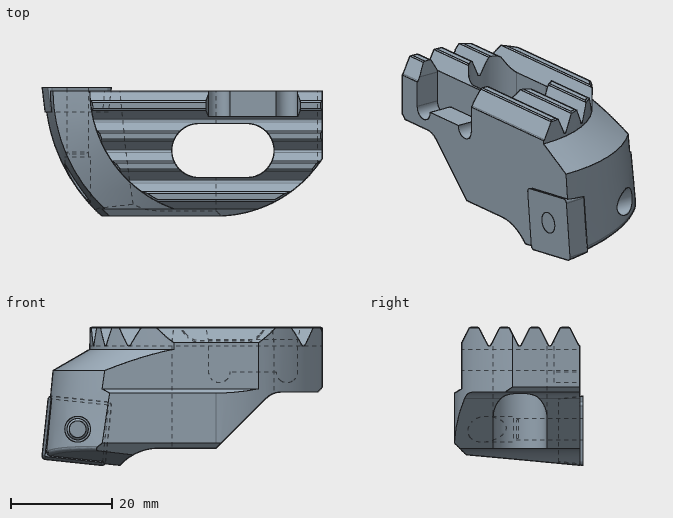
import cadquery as cq
import math


length = 55.5
front_y = -24.8
step_y = -23.35
axis_x = 34.45
axis_y = 0.2
top_radius = axis_y - front_y
ledge_radius = 32.3
ledge_top_z = -4.4
ledge_angle = 30.0
flank_angle = 5.5
stock_depth = 33.3

rise_angle = 45.0
foot_z = -24.0
tail_z = -12.9
tail_fillet = 4.15
tail_chamfer = 1.0
toe_arc_radius = 10.25
toe_arc_end_x = 23.05
toe_x = 15.0
sole_origin_z = -25.75
sole_angle = 6.0
sole_fillet = 0.85
front_chamfer = 1.05
step_ledge_z = -12.2
step_ledge_angle = 30.0

pitch = 6.0
groove_count = 5
first_groove_y = 0.085
groove_depth = 3.7
groove_root_radius = 0.35
groove_half_angle = 27.0
tip_chamfer_width = 0.4
tip_chamfer_drop = 0.15

slot_length = 20.2
slot_width = 10.65
slot_x = 35.8
slot_y = -11.8

notch_left_x = 32.95
notch_right_x = 50.55
notch_depth_y = 5.05
notch_floor_z = -8.9
notch_flare = 0.55
notch_flare_z = -2.8
relief_diameter = 4.2

insert_side = 12.65
insert_thickness = 4.9
insert_back_y = 0.65
insert_corner_x = -0.085
insert_corner_z = -26.15
insert_tilt = 6.0
insert_relief = 7.0
insert_corner_radius = 0.8

screw_x = 7.05
screw_z = -20.2
screw_diameter = 4.2
screw_tip_chamfer = 0.45
screw_tip_recess = 0.55
access_diameter = 5.1
access_floor_y = -13.1


def tan_deg(angle):
    return math.tan(math.radians(angle))


def block(x0, x1, y0, y1, z0, z1):
    return cq.Workplane("XY").box(x1 - x0, y1 - y0, z1 - z0, centered=False).translate((x0, y0, z0))


def xz_prism(outline, y0, y1):
    """Extrude an outline drawn in X and Z from y0 to y1."""
    return outline.extrude(y0 - y1).translate((0, y0, 0))


def turned(points):
    """Turn a profile of (radius, Z) points about the vertical axis of the body."""
    profile = cq.Workplane("XZ").polyline(points).close()
    return profile.revolve(360, (0, 0, 0), (0, 1, 0)).translate((axis_x, axis_y, 0))


def plan_stock():
    """Conical flank and ledge on the left, plain cylinder on the right, straight front and back."""
    ledge_bottom_z = ledge_top_z - (ledge_radius - top_radius) * tan_deg(ledge_angle)
    base_radius = ledge_radius + (ledge_bottom_z + stock_depth) * tan_deg(flank_angle)
    head = [(0, 0), (top_radius - tip_chamfer_width, 0), (top_radius, -tip_chamfer_drop)]
    left_profile = head + [
        (top_radius, ledge_top_z),
        (ledge_radius, ledge_bottom_z),
        (base_radius, -stock_depth),
        (0, -stock_depth),
    ]
    right_profile = head + [(top_radius, -stock_depth), (0, -stock_depth)]
    left_half = block(-length, axis_x, front_y, 0, -stock_depth, 0)
    right_half = block(axis_x, length, front_y, 0, -stock_depth, 0)
    return turned(left_profile).intersect(left_half).union(turned(right_profile).intersect(right_half))


def side_profile():
    """Side outline with the tail, the straight rise, the flat foot and the toe arc."""
    rise_bottom_x = axis_x
    rise_top_x = rise_bottom_x + (tail_z - foot_z) / tan_deg(rise_angle)
    fillet_reach = tail_fillet * tan_deg(rise_angle / 2)
    fillet_side = fillet_reach * math.cos(math.radians(rise_angle))
    toe_run = toe_arc_end_x - toe_x
    toe_drop = toe_arc_radius - math.sqrt(toe_arc_radius**2 - toe_run**2)
    half_turn = math.asin(toe_run / toe_arc_radius) / 2
    toe_middle = (
        toe_arc_end_x - toe_arc_radius * math.sin(half_turn),
        foot_z - toe_arc_radius * (1 - math.cos(half_turn)),
    )
    toe_z = foot_z - toe_drop
    tail_middle = (
        rise_top_x + fillet_reach - tail_fillet * math.sin(math.radians(rise_angle / 2)),
        tail_z - tail_fillet * (1 - math.cos(math.radians(rise_angle / 2))),
    )
    outline = (
        cq.Workplane("XZ")
        .moveTo(-length, 0)
        .lineTo(length - tip_chamfer_width, 0)
        .lineTo(length, -tip_chamfer_drop)
        .lineTo(length, tail_z + tail_chamfer)
        .lineTo(length - tail_chamfer, tail_z)
        .lineTo(rise_top_x + fillet_reach, tail_z)
        .threePointArc(tail_middle, (rise_top_x - fillet_side, tail_z - fillet_side))
        .lineTo(rise_bottom_x, foot_z)
        .lineTo(toe_arc_end_x, foot_z)
        .threePointArc(toe_middle, (toe_x, toe_z))
        .lineTo(toe_x - (stock_depth + toe_z), -stock_depth)
        .lineTo(-length, -stock_depth)
        .close()
    )
    return xz_prism(outline, 2 * front_y, -front_y)


def below_sole():
    """Everything under the tilted sole plane."""
    sole_slope = tan_deg(sole_angle)
    plane = cq.Plane(origin=(0, 0, sole_origin_z), xDir=(1, 0, -sole_slope), normal=(sole_slope, sole_slope, 1))
    return cq.Workplane(plane).rect(4 * length, 4 * length).extrude(-length)


def round_flank_foot(body):
    """Round the curved edge where the conical flank meets the tilted sole: the ellipse furthest to -X."""
    foot_edge = min(body.edges("%ELLIPSE").vals(), key=lambda edge: edge.Center().x)
    return body.newObject([foot_edge]).fillet(sole_fillet)


def front_cuts():
    """Set back the upper front face above a sloping ledge and chamfer the lower front edge."""
    step = step_y - front_y
    ledge_drop = step * tan_deg(step_ledge_angle)
    upper = (
        cq.Workplane("YZ")
        .polyline([
            (step_y, 0),
            (step_y, step_ledge_z),
            (front_y, step_ledge_z - ledge_drop),
            (2 * front_y, step_ledge_z - ledge_drop),
            (2 * front_y, 0),
        ])
        .close()
        .extrude(length)
    )
    chamfer_top_z = foot_z + front_chamfer
    chamfer_reach = chamfer_top_z + stock_depth
    lower = (
        cq.Workplane("YZ")
        .polyline([
            (front_y, chamfer_top_z),
            (front_y + chamfer_reach, -stock_depth),
            (front_y, -stock_depth),
        ])
        .close()
        .extrude(length)
    )
    return upper.union(lower)


def groove():
    """One V groove with a rounded root and chamfered mouth, centred on Y = 0."""
    half_angle = math.radians(groove_half_angle)
    root_center_z = groove_root_radius - groove_depth
    tangent_y = groove_root_radius * math.cos(half_angle)
    tangent_z = root_center_z - groove_root_radius * math.sin(half_angle)
    shoulder_y = tangent_y - (tangent_z + tip_chamfer_drop) * math.tan(half_angle)
    mouth_y = shoulder_y + tip_chamfer_width
    return (
        cq.Workplane("YZ")
        .moveTo(-mouth_y, 0)
        .lineTo(-shoulder_y, -tip_chamfer_drop)
        .lineTo(-tangent_y, tangent_z)
        .threePointArc((0, -groove_depth), (tangent_y, tangent_z))
        .lineTo(shoulder_y, -tip_chamfer_drop)
        .lineTo(mouth_y, 0)
        .close()
        .extrude(length)
    )


def slot():
    return (
        cq.Workplane("XY")
        .center(slot_x, slot_y)
        .slot2D(slot_length, slot_width)
        .extrude(-stock_depth)
    )


def back_notch():
    """Flared notch through the back tooth with a round relief at each side of its floor."""
    outline = (
        cq.Workplane("XZ")
        .moveTo(notch_left_x - notch_flare, 0)
        .lineTo(notch_left_x, notch_flare_z)
        .lineTo(notch_left_x, notch_floor_z)
        .threePointArc(
            (notch_left_x + relief_diameter / 2, notch_floor_z - relief_diameter / 2),
            (notch_left_x + relief_diameter, notch_floor_z),
        )
        .lineTo(notch_right_x - relief_diameter, notch_floor_z)
        .threePointArc(
            (notch_right_x - relief_diameter / 2, notch_floor_z - relief_diameter / 2),
            (notch_right_x, notch_floor_z),
        )
        .lineTo(notch_right_x, notch_flare_z)
        .lineTo(notch_right_x + notch_flare, 0)
        .close()
    )
    return xz_prism(outline, -notch_depth_y, 0)


def screw_cylinder(diameter, y0, y1):
    outline = cq.Workplane("XZ").center(screw_x, screw_z).circle(diameter / 2)
    return xz_prism(outline, y0, y1)


def make_insert_blank():
    """Tilted square plate whose edges taper inward away from its back face."""
    half_side = insert_side / 2
    square = cq.Sketch().rect(insert_side, insert_side).vertices().fillet(insert_corner_radius)
    return (
        cq.Workplane("XZ", origin=(half_side, 0, half_side))
        .placeSketch(square)
        .extrude(insert_thickness, taper=insert_relief)
        .rotate((0, 0, 0), (0, 1, 0), insert_tilt)
        .translate((insert_corner_x, insert_back_y, insert_corner_z))
    )


def make_screw():
    """Headless screw, flush with the insert, with a chamfered tip just below the access hole."""
    tip_y = access_floor_y + screw_tip_recess
    return screw_cylinder(screw_diameter, tip_y, insert_back_y).faces("<Y").chamfer(screw_tip_chamfer)


def make_body(insert_blank):
    body = plan_stock().intersect(side_profile()).cut(below_sole())
    body = round_flank_foot(body)
    body = body.cut(front_cuts())
    for index in range(groove_count):
        body = body.cut(groove().translate((0, first_groove_y - index * pitch, 0)))
    body = body.cut(slot()).cut(back_notch())
    body = body.cut(screw_cylinder(access_diameter, 2 * front_y, access_floor_y))
    body = body.cut(screw_cylinder(screw_diameter, access_floor_y, insert_back_y))
    return body.cut(insert_blank)


insert_blank = make_insert_blank()
screw = make_screw()
body = make_body(insert_blank)
cutting_insert = insert_blank.cut(screw)

result = cq.Compound.makeCompound([body.val(), cutting_insert.val(), screw.val()])